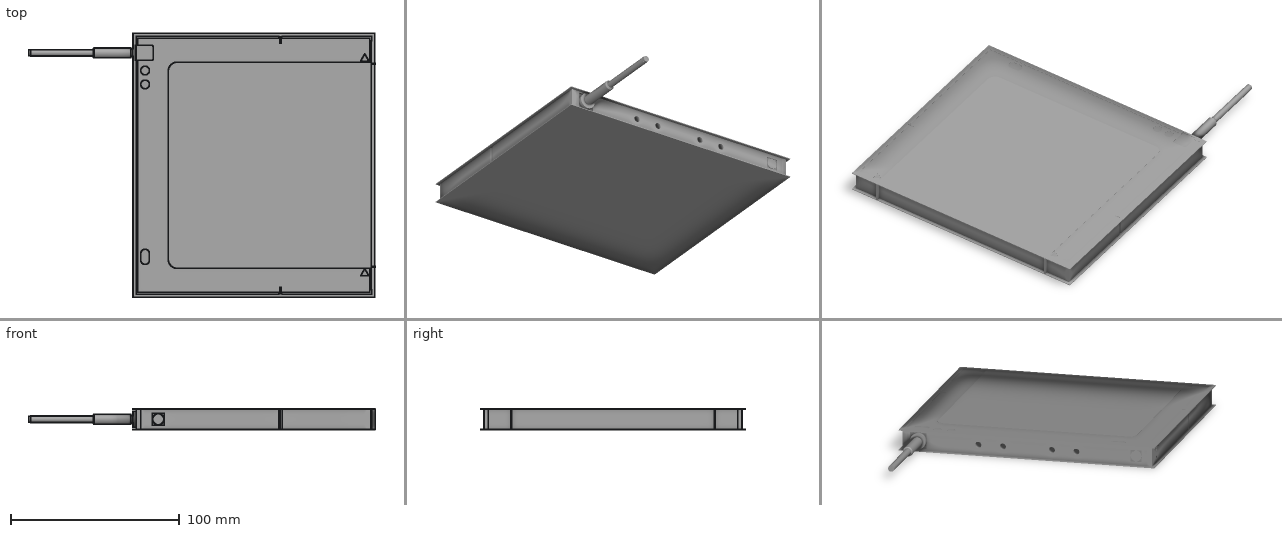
import cadquery as cq


overall_length = 205.5

plate_length = 143.2
plate_width = 156.5
height = 12.5
plate_thickness = 0.5
wall_inset = 1.8
corner_post = 2.7
right_post = 0.6
wall_length = plate_length - 2 * wall_inset
wall_width = plate_width - 2 * wall_inset
wall_height = height - 2 * plate_thickness
top_z = height / 2

rib_y = 60.2
rib_width = 0.6
rib_overhang = 0.5

relief = 0.12
panel_left = 2.9
panel_width = 150.5
panel_right_inset = 3.0
window_left = 21.0
window_width = 122.0
window_radius = 5.1
badge_left = 1.2
badge_length = 10.7
badge_width = 9.0
badge_radius = 0.8
lamp_x = 7.2
lamp_diameter = 5.1
lamp_ys = (56.0, 47.9)
slot_y = -54.2
slot_length = 9.0
triangle_x = 137.2
triangle_width = 5.0
triangle_height = 4.3
triangle_base_ys = (61.6, -65.5)

mark_x = 87.3
mark_inset = 2.3
mark_length = 3.7
mark_width = 0.8
wall_groove_width = 2.3
wall_groove_depth = 0.6

port_y = 66.5
plug_from_wall = 13.1
plug_size = 7.0
plug_diameter = 6.5
plug_depth = 0.5
screw_hole_pitch = 15.0
screw_hole_diameter = 3.7
screw_hole_depth = 4.1

gland_pocket_size = 9.9
gland_pocket_depth = 0.8
collar_diameter = 9.7
neck_diameter = 4.7
sleeve_diameter = 6.0
sleeve_length = 22.4
neck_length = 1.2
sleeve_chamfer = 0.6
gland_seat_x = wall_inset + gland_pocket_depth

cable_tip_x = plate_length + rib_overhang - overall_length
cable_diameter = 4.0
core_diameter = 3.7
core_length = 1.5


def box(x0, length, y_mid, width, z_mid, tall):
    """Box that starts at x0 and is centred on y_mid and z_mid."""
    block = cq.Workplane().box(length, width, tall, centered=(False, True, True))
    return block.translate((x0, y_mid, z_mid))


def rod(x0, length, diameter):
    """Round bar along +X on the cable axis."""
    return cq.Workplane("YZ", origin=(x0, port_y, 0)).circle(diameter / 2).extrude(length)


def at_top(x, y):
    """Sketch plane on the top face, centred on (x, y)."""
    return cq.Workplane(origin=(x, y, top_z))


def make_shell():
    """Walls with slightly proud corner posts and two ribs, between overhanging cover plates."""
    shell = box(wall_inset + relief, wall_length - 2 * relief, 0, wall_width - 2 * relief, 0, wall_height)
    wall_end = wall_inset + wall_length
    for side in (1, -1):
        post_y = side * (wall_width - corner_post) / 2
        shell = shell.union(box(wall_inset, corner_post, post_y, corner_post, 0, wall_height))
        rib_root = wall_end - right_post
        shell = shell.union(box(rib_root, right_post, post_y, corner_post, 0, wall_height))
        rib_length = plate_length + rib_overhang - rib_root
        shell = shell.union(box(rib_root, rib_length, side * rib_y, rib_width, 0, wall_height))
    plate_z = (height - plate_thickness) / 2
    for z in (plate_z, -plate_z):
        shell = shell.union(box(0, plate_length, 0, plate_width, z, plate_thickness))
    return shell


def cut_panel(shell):
    """Sink the margin panel around the raised window, which runs out to the right edge."""
    panel_length = plate_length - panel_left - panel_right_inset
    panel = box(panel_left, panel_length, 0, panel_width, top_z, 2 * relief)
    window = box(window_left, plate_length - window_left, 0, window_width, top_z, 2 * relief)
    window = window.edges("|Z and <X").fillet(window_radius)
    return shell.cut(panel.cut(window))


def cut_top_marks(shell):
    """Sink the badge, lamps, slot, triangles and centre marks below the panel."""
    depth = 2 * relief
    badge = box(badge_left, badge_length, port_y, badge_width, top_z, 2 * depth)
    shell = shell.cut(badge.edges("|Z and >X").fillet(badge_radius))
    for y in lamp_ys:
        shell = shell.cut(at_top(lamp_x, y).circle(lamp_diameter / 2).extrude(-depth))
    shell = shell.cut(at_top(lamp_x, slot_y).slot2D(slot_length, lamp_diameter, 90).extrude(-depth))
    for y in triangle_base_ys:
        corners = [(-triangle_width / 2, 0), (triangle_width / 2, 0), (0, triangle_height)]
        shell = shell.cut(at_top(triangle_x, y).polyline(corners).close().extrude(-depth))
    mark_y = plate_width / 2 - mark_inset - mark_length / 2
    for y in (mark_y, -mark_y):
        shell = shell.cut(at_top(mark_x, y).rect(mark_width, mark_length).extrude(-depth))
    return shell


def cut_wall_grooves(shell):
    """Vertical V grooves in the front and back walls, in line with the centre marks."""
    for side in (1, -1):
        wall_y = side * (wall_width / 2 - relief)
        corners = [
            (mark_x - wall_groove_width / 2, wall_y),
            (mark_x + wall_groove_width / 2, wall_y),
            (mark_x, wall_y - side * wall_groove_depth),
        ]
        groove = cq.Workplane(origin=(0, 0, -wall_height / 2)).polyline(corners).close().extrude(wall_height)
        shell = shell.cut(groove)
    return shell


def plug_recess():
    """Square recess around a round island, sunk along +Z from the XY plane."""
    return cq.Workplane().rect(plug_size, plug_size).circle(plug_diameter / 2).extrude(plug_depth)


def cut_plugs(shell):
    """Blanked cable ports near the front left corner, one in each wall."""
    left = plug_recess().rotate((0, 0, 0), (0, 1, 0), 90).translate((wall_inset + relief, -port_y, 0))
    front = plug_recess().rotate((0, 0, 0), (1, 0, 0), -90)
    front = front.translate((wall_inset + plug_from_wall, relief - wall_width / 2, 0))
    return shell.cut(left).cut(front)


def cut_screw_holes(shell):
    """Four blind holes in the left wall, one and two pitches either side of the middle."""
    for step in (-2, -1, 1, 2):
        plane = cq.Workplane("YZ", origin=(wall_inset, step * screw_hole_pitch, 0))
        shell = shell.cut(plane.circle(screw_hole_diameter / 2).extrude(screw_hole_depth))
    return shell


def cut_gland_pocket(shell):
    """Square pocket in the left wall that seats the gland and the cable end."""
    pocket = box(wall_inset, gland_pocket_depth, port_y, gland_pocket_size, 0, gland_pocket_size)
    return shell.cut(pocket)


def make_housing():
    shell = cut_top_marks(cut_panel(make_shell()))
    shell = cut_plugs(cut_wall_grooves(shell))
    return cut_gland_pocket(cut_screw_holes(shell))


def make_gland():
    """Collar, neck and sleeve, bored for the cable."""
    sleeve_tip_x = -neck_length - sleeve_length
    sleeve = rod(sleeve_tip_x, sleeve_length, sleeve_diameter).faces("<X").chamfer(sleeve_chamfer)
    collar = rod(0, gland_seat_x, collar_diameter)
    neck = rod(-neck_length, neck_length, neck_diameter)
    bore = rod(sleeve_tip_x, gland_seat_x - sleeve_tip_x, cable_diameter)
    return sleeve.union(neck).union(collar).cut(bore)


def make_cable():
    """Jacketed cable with a short length of its core bared at the tip."""
    jacket_start = cable_tip_x + core_length
    jacket = rod(jacket_start, gland_seat_x - jacket_start, cable_diameter)
    return jacket.union(rod(cable_tip_x, core_length, core_diameter))


housing = make_housing()
gland = make_gland()
cable = make_cable()
result = cq.Compound.makeCompound([housing.val(), gland.val(), cable.val()])